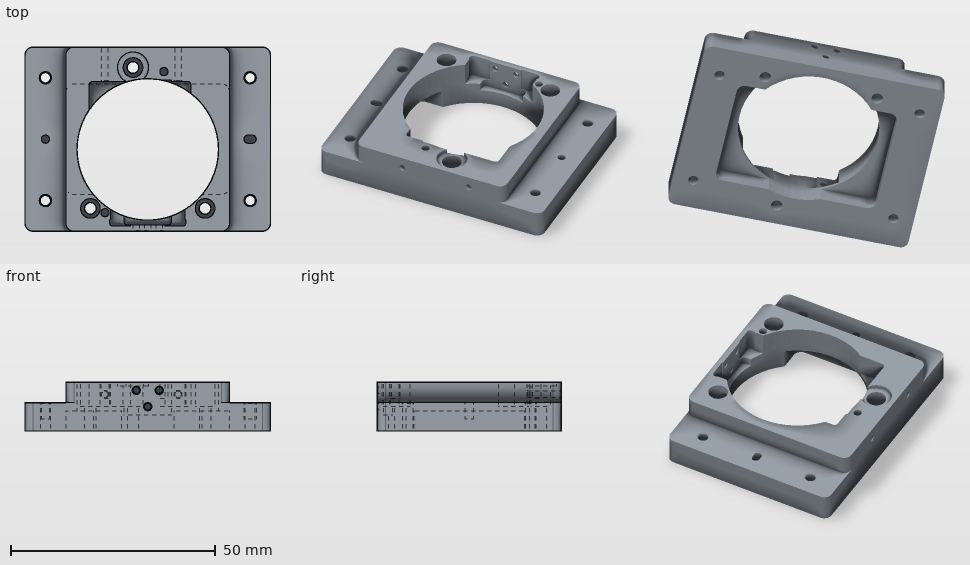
import cadquery as cq

LENGTH = 60.0
DEPTH = 45.0
HEIGHT = 12.0
FLANGE_HEIGHT = 7.0
BLOCK_LENGTH = 40.0
CORNER_RADIUS = 2.0

BORE_DIAMETER = 34.5
BORE_Y = -2.5

RECESS_LENGTH = 40.0
RECESS_DEPTH = 27.0
RECESS_HEIGHT = 5.0
RECESS_RADIUS = 2.0

REAR_POCKET_LEFT = -14.3
REAR_POCKET_RIGHT = 10.6
REAR_POCKET_BACK = 14.1
REAR_POCKET_FLOOR = 6.0
POCKET_RADIUS = 0.9
REAR_STEP_RIGHT = 5.8
REAR_STEP_BACK = 14.5

NOTCH_LENGTH = 18.2
NOTCH_FRONT = -21.0
NOTCH_FLOOR = 6.0
RELIEF_INNER_X = 4.2
RELIEF_OVERCUT = 0.25
RELIEF_WIDTH = 2.0
CHANNEL_LENGTH = 11.6
CHANNEL_FLOOR = 4.0

SCREW_DIAMETER = 2.8
SCREW_HEAD_DIAMETER = 4.8
SCREW_HEAD_FLOOR = 6.0
FRONT_SCREW_X = 14.0
FRONT_SCREW_Y = -16.9
REAR_SCREW = (-3.6, 17.5)
SPOTFACE_DIAMETER = 7.6
SPOTFACE_DEPTH = 1.0

FLANGE_HOLE_X = 25.0
FLANGE_HOLE_Y = 15.0
FLANGE_HOLE_DIAMETER = 2.5
FLANGE_HOLE_MOUTH = 3.0

PIN_DIAMETER = 2.0
PIN_DEPTH = 4.0
PIN_SLOT_LENGTH = 3.0
BLOCK_PINS = [(-10.45, -17.95), (3.95, 16.5)]

SET_SCREW_DIAMETER = 1.6
SET_SCREW_MOUTH = 2.0
FRONT_SET_SCREWS = [(-2.8, 10.0), (2.8, 10.0), (0.0, 6.0)]
REAR_SET_SCREWS = [(-10.5, 9.0), (7.4, 9.0)]


def box_between(x_range, y_range, z_range):
    """Box spanning the given minimum and maximum on each axis."""
    x0, x1 = x_range
    y0, y1 = y_range
    z0, z1 = z_range
    return cq.Workplane("XY").box(x1 - x0, y1 - y0, z1 - z0, centered=False).translate((x0, y0, z0))


def vertical_cylinder(point, top, bottom, diameter):
    """Vertical cylinder between two heights."""
    return cq.Workplane("XY", origin=(*point, bottom)).circle(diameter / 2).extrude(top - bottom)


def chamfered_hole(start, direction, length, diameter, mouth):
    """Hole from a face point, with a 45 degree chamfer at its mouth."""
    chamfer = (mouth - diameter) / 2
    axis = cq.Vector(*direction)
    hole = cq.Solid.makeCylinder(diameter / 2, length, cq.Vector(*start), axis)
    cone = cq.Solid.makeCone(mouth / 2, diameter / 2, chamfer, cq.Vector(*start), axis)
    return hole.fuse(cone)


def make_body():
    flange = cq.Workplane("XY").box(LENGTH, DEPTH, FLANGE_HEIGHT, centered=(True, True, False))
    block = cq.Workplane("XY").box(BLOCK_LENGTH, DEPTH, HEIGHT, centered=(True, True, False))
    return flange.edges("|Z").fillet(CORNER_RADIUS).union(block.edges("|Z").fillet(CORNER_RADIUS))


def cut_bore_and_recess(body):
    recess = cq.Workplane("XY").box(RECESS_LENGTH, RECESS_DEPTH, RECESS_HEIGHT, centered=(True, True, False))
    body = body.cut(recess.edges("|Z").fillet(RECESS_RADIUS))
    return body.cut(vertical_cylinder((0, BORE_Y), HEIGHT, 0, BORE_DIAMETER))


def cut_rear_pocket(body):
    heights = (REAR_POCKET_FLOOR, HEIGHT)
    pocket = box_between((REAR_POCKET_LEFT, REAR_POCKET_RIGHT), (BORE_Y, REAR_POCKET_BACK), heights)
    step = box_between((0, REAR_STEP_RIGHT), (BORE_Y, REAR_STEP_BACK), heights)
    body = body.cut(pocket.edges("|Z and >Y").fillet(POCKET_RADIUS))
    return body.cut(step.edges("|Z and >Y and >X").fillet(REAR_STEP_BACK - REAR_POCKET_BACK))


def cut_front_notch(body):
    half_notch = NOTCH_LENGTH / 2
    half_channel = CHANNEL_LENGTH / 2
    heights = (NOTCH_FLOOR, HEIGHT)
    relief_front = NOTCH_FRONT - RELIEF_OVERCUT
    relief_outer_x = half_notch + RELIEF_OVERCUT
    relief_back = relief_front + RELIEF_WIDTH
    relief = box_between((RELIEF_INNER_X, relief_outer_x), (relief_front, relief_back), heights)
    relief = relief.edges("|Z and >X").fillet(POCKET_RADIUS)
    channel = box_between((-half_channel, half_channel), (NOTCH_FRONT, BORE_Y), (CHANNEL_FLOOR, HEIGHT))
    body = body.cut(box_between((-half_notch, half_notch), (NOTCH_FRONT, BORE_Y), heights))
    body = body.cut(relief).cut(relief.mirror("YZ"))
    return body.cut(channel.edges("|Z and <Y").fillet(POCKET_RADIUS))


def cut_block_screws(body):
    for point in [(-FRONT_SCREW_X, FRONT_SCREW_Y), (FRONT_SCREW_X, FRONT_SCREW_Y), REAR_SCREW]:
        body = body.cut(vertical_cylinder(point, HEIGHT, 0, SCREW_DIAMETER))
        body = body.cut(vertical_cylinder(point, HEIGHT, SCREW_HEAD_FLOOR, SCREW_HEAD_DIAMETER))
    return body.cut(vertical_cylinder(REAR_SCREW, HEIGHT, HEIGHT - SPOTFACE_DEPTH, SPOTFACE_DIAMETER))


def cut_flange_holes(body):
    for x in (-FLANGE_HOLE_X, FLANGE_HOLE_X):
        for y in (-FLANGE_HOLE_Y, FLANGE_HOLE_Y):
            start = (x, y, FLANGE_HEIGHT)
            body = body.cut(
                chamfered_hole(start, (0, 0, -1), FLANGE_HEIGHT, FLANGE_HOLE_DIAMETER, FLANGE_HOLE_MOUTH)
            )
    return body


def cut_pins(body):
    for point in BLOCK_PINS:
        body = body.cut(vertical_cylinder(point, HEIGHT, HEIGHT - PIN_DEPTH, PIN_DIAMETER))
    flange_pin_floor = FLANGE_HEIGHT - PIN_DEPTH
    body = body.cut(vertical_cylinder((-FLANGE_HOLE_X, 0), FLANGE_HEIGHT, flange_pin_floor, PIN_DIAMETER))
    slot = cq.Workplane("XY", origin=(FLANGE_HOLE_X, 0, flange_pin_floor))
    return body.cut(slot.slot2D(PIN_SLOT_LENGTH, PIN_DIAMETER).extrude(PIN_DEPTH))


def cut_set_screws(body):
    front_length = DEPTH / 2 + NOTCH_FRONT
    rear_length = DEPTH / 2 - REAR_POCKET_BACK
    for x, z in FRONT_SET_SCREWS:
        start = (x, -DEPTH / 2, z)
        body = body.cut(chamfered_hole(start, (0, 1, 0), front_length, SET_SCREW_DIAMETER, SET_SCREW_MOUTH))
    for x, z in REAR_SET_SCREWS:
        start = (x, REAR_POCKET_BACK, z)
        body = body.cut(chamfered_hole(start, (0, 1, 0), rear_length, SET_SCREW_DIAMETER, SET_SCREW_MOUTH))
    return body


result = make_body()
result = cut_bore_and_recess(result)
result = cut_rear_pocket(result)
result = cut_front_notch(result)
result = cut_block_screws(result)
result = cut_flange_holes(result)
result = cut_pins(result)
result = cut_set_screws(result)